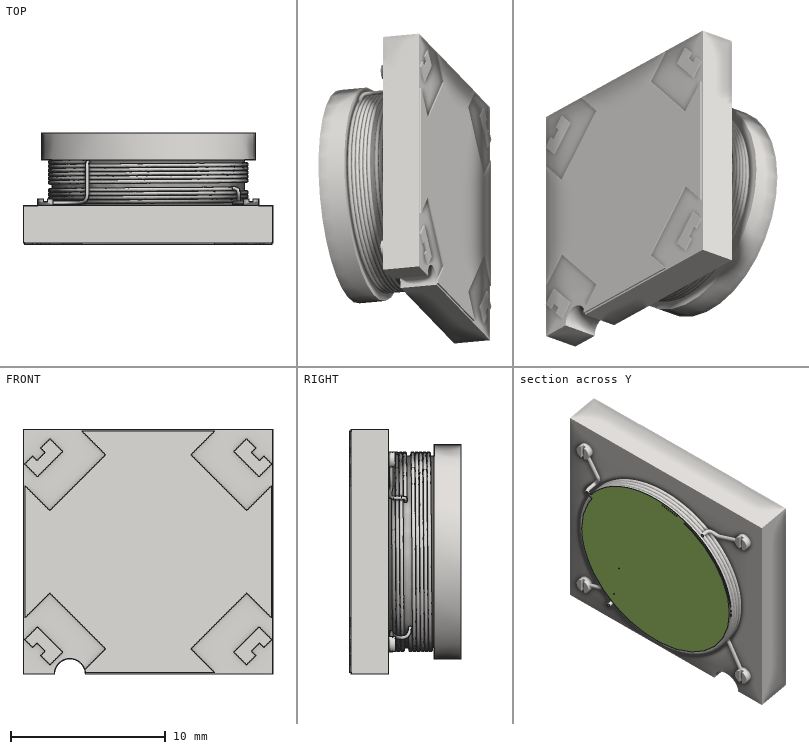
import cadquery as cq
import math


BASE_WIDTH = 16.1
BASE_HEIGHT = 15.8
BASE_THICKNESS = 2.42
NOTCH_RADIUS = 1.0
NOTCH_X = -5.05

LAYER_THICKNESS = 0.11
LAYER_INSET = 0.11
CORNER_RECESS_WIDTH = 5.09
CORNER_RECESS_START = 6.38
CORNER_RECESS_SHIFT = -0.06

CLIP_X = 6.75
CLIP_Y = 6.07
CLIP_LENGTH = 2.3
CLIP_WIDTH = 1.16
CLIP_NOTCH_LENGTH = 0.74
CLIP_NOTCH_DEPTH = 0.4
CLIP_NOTCH_SHIFT = -0.06

POST_X = 6.63
POST_Y = 5.95
POST_RADIUS = 0.5
POST_HEIGHT = 0.43
SLOT_WIDTH = 0.24
SLOT_DEPTH = 0.18

CORE_RADIUS = 6.21
CORE_LENGTH = 2.95
FLANGE_RADIUS = 6.92
FLANGE_THICKNESS = 1.74

WIRE_RADIUS = 0.12
WIRE_SINK = 0.008
WINDING_RADIUS = CORE_RADIUS + WIRE_RADIUS - WIRE_SINK
WINDING_PITCH = 0.25
UPPER_TURNS = 5.5
UPPER_ANGLE = 128.6
UPPER_START = -2.82
UPPER_END = UPPER_START + UPPER_TURNS * WINDING_PITCH
LOWER_TURNS = 3.5
LOWER_ANGLE = 32.0
LOWER_START = -1.08
LOWER_END = LOWER_START + LOWER_TURNS * WINDING_PITCH

LEAD_ROOT_DEPTH = 0.16
LEAD_ROOT_RADIUS = CORE_RADIUS - LEAD_ROOT_DEPTH
LEAD_RADIUS = 6.8
LEAD_FOOT_RADIUS = 7.0
LEAD_FOOT_ADVANCE = 6.5
LEAD_LEVEL = -0.18
UPPER_LAG = 3.2
LOWER_LAG = 1.2
UPPER_RISE = 0.53
LOWER_RISE = 0.25
UPPER_BEND = 0.6
LOWER_BEND = 0.13

CORNERS = [(-1, -1), (1, -1), (-1, 1), (1, 1)]


def polar(radius, angle, z):
    """Point at an angle in degrees around the coil axis."""
    turn = math.radians(angle)
    return cq.Vector(radius * math.cos(turn), radius * math.sin(turn), z)


def mirrored_to(corner, shape):
    """Copy of a +X +Y corner shape, mirrored to the given corner."""
    side_x, side_y = corner
    if side_x < 0:
        shape = shape.mirror("YZ")
    if side_y < 0:
        shape = shape.mirror("XZ")
    return shape


def corner_recess():
    size = 2 * CORNER_RECESS_START
    block = cq.Workplane("XY").box(size, CORNER_RECESS_WIDTH, LAYER_THICKNESS, centered=(False, True, False))
    block = block.translate((CORNER_RECESS_START, CORNER_RECESS_SHIFT, BASE_THICKNESS))
    return block.rotate((0, 0, 0), (0, 0, 1), 45)


def clip():
    """U-shaped clip with its notch facing outwards along the diagonal."""
    plate = cq.Workplane("XY").box(CLIP_WIDTH, CLIP_LENGTH, LAYER_THICKNESS, centered=(True, True, False))
    notch = (
        cq.Workplane("XY")
        .center(CLIP_WIDTH / 2, CLIP_NOTCH_SHIFT)
        .rect(2 * CLIP_NOTCH_DEPTH, CLIP_NOTCH_LENGTH)
        .extrude(LAYER_THICKNESS)
    )
    return plate.cut(notch).rotate((0, 0, 0), (0, 0, 1), 45).translate((CLIP_X, CLIP_Y, BASE_THICKNESS))


def post():
    return cq.Workplane("XY", origin=(POST_X, POST_Y, 0)).circle(POST_RADIUS).extrude(-POST_HEIGHT)


def post_slot():
    return (
        cq.Workplane("XY", origin=(POST_X, POST_Y, -POST_HEIGHT))
        .rect(SLOT_WIDTH, 2 * POST_RADIUS)
        .extrude(SLOT_DEPTH)
    )


def base():
    plate = cq.Workplane("XY").rect(BASE_WIDTH, BASE_HEIGHT).extrude(BASE_THICKNESS)
    layer = (
        cq.Workplane("XY", origin=(0, 0, BASE_THICKNESS))
        .rect(BASE_WIDTH - 2 * LAYER_INSET, BASE_HEIGHT - 2 * LAYER_INSET)
        .extrude(LAYER_THICKNESS)
    )
    for corner in CORNERS:
        layer = layer.cut(mirrored_to(corner, corner_recess()))
    body = plate.union(layer)
    for corner in CORNERS:
        body = body.union(mirrored_to(corner, clip()))
        body = body.union(mirrored_to(corner, post()))
    notch = (
        cq.Workplane("XY")
        .center(NOTCH_X, -BASE_HEIGHT / 2)
        .circle(NOTCH_RADIUS)
        .extrude(BASE_THICKNESS + LAYER_THICKNESS)
    )
    return body.cut(notch)


def drum_core():
    core = cq.Workplane("XY").circle(CORE_RADIUS).extrude(-CORE_LENGTH)
    flange = cq.Workplane("XY", origin=(0, 0, -CORE_LENGTH)).circle(FLANGE_RADIUS).extrude(-FLANGE_THICKNESS)
    return core.union(flange)


def winding(turns, start_angle, start_z):
    path = cq.Wire.makeHelix(WINDING_PITCH, turns * WINDING_PITCH, WINDING_RADIUS)
    coil = (
        cq.Workplane("XZ", origin=(WINDING_RADIUS, 0, 0))
        .circle(WIRE_RADIUS)
        .sweep(cq.Workplane(path), isFrenet=True)
    )
    return coil.rotate((0, 0, 0), (0, 0, 1), start_angle).translate((0, 0, start_z))


def wire_along(edges):
    """Round wire swept along smoothly joined edges."""
    section = cq.Plane(origin=edges[0].startPoint(), normal=edges[0].tangentAt(0))
    path = cq.Workplane(cq.Wire.assembleEdges(edges))
    return cq.Workplane(section).circle(WIRE_RADIUS).sweep(path)


def crossing_lead(angle, start_z, lag, rise, bend, corner):
    """Lead that lifts off a winding end, crosses the turns axially and runs to a post."""
    crossing_angle = angle - lag
    start = polar(LEAD_ROOT_RADIUS, angle, start_z)
    top = polar(LEAD_RADIUS, crossing_angle, start_z + rise)
    bottom = polar(LEAD_RADIUS, crossing_angle, LEAD_LEVEL - bend)
    foot = polar(LEAD_FOOT_RADIUS, crossing_angle + LEAD_FOOT_ADVANCE, LEAD_LEVEL)
    end = cq.Vector(corner[0] * POST_X, corner[1] * POST_Y, LEAD_LEVEL)
    along_axis = cq.Vector(0, 0, 1)
    return wire_along([
        cq.Edge.makeSpline([start, top], [polar(1, angle, 0), along_axis]),
        cq.Edge.makeLine(top, bottom),
        cq.Edge.makeSpline([bottom, foot], [along_axis, end - foot]),
        cq.Edge.makeLine(foot, end),
    ])


def flat_lead():
    """Lead that runs straight along the base from the end of the lower winding."""
    start = polar(LEAD_ROOT_RADIUS, LOWER_ANGLE + 360 * LOWER_TURNS, LOWER_END)
    end = cq.Vector(-POST_X, -POST_Y, LOWER_END)
    return wire_along([cq.Edge.makeLine(start, end)])


def all_leads():
    upper_end_angle = UPPER_ANGLE + 360 * UPPER_TURNS
    return [
        crossing_lead(UPPER_ANGLE, UPPER_START, UPPER_LAG, UPPER_RISE, UPPER_BEND, (-1, 1)),
        crossing_lead(upper_end_angle, UPPER_END, UPPER_LAG, UPPER_RISE, UPPER_BEND, (1, -1)),
        crossing_lead(LOWER_ANGLE, LOWER_START, LOWER_LAG, LOWER_RISE, LOWER_BEND, (1, 1)),
        flat_lead(),
    ]


part = base().union(drum_core())
part = part.union(winding(UPPER_TURNS, UPPER_ANGLE, UPPER_START))
part = part.union(winding(LOWER_TURNS, LOWER_ANGLE, LOWER_START))
for lead in all_leads():
    part = part.union(lead)
for corner in CORNERS:
    part = part.cut(mirrored_to(corner, post_slot()))
result = part.rotate((0, 0, 0), (1, 0, 0), 90)